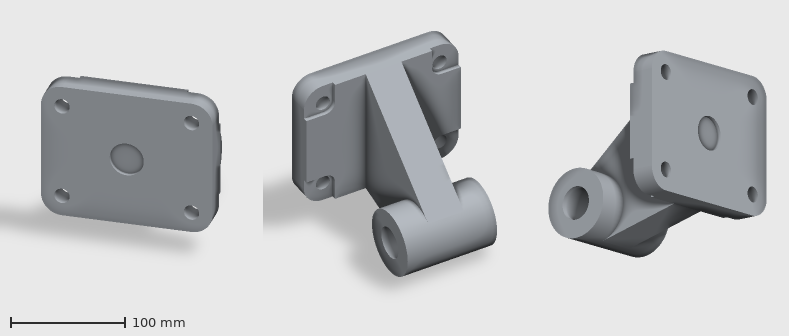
import cadquery as cq
import math

plate_width = 156.0
plate_height = 126.0
plate_thickness = 25.3
corner_radius = 19.0
hole_diameter = 14.0

seat_depth = 4.0
seat_radius = 10.0

recess_diameter = 31.0
recess_depth = 4.0

boss_diameter = 63.0
boss_length = 90.2
bore_diameter = 30.1
total_depth = 146.5
axis_height = 10.0

web_thickness = 36.0

boss_radius = boss_diameter / 2
axis_y = total_depth - boss_radius
plate_middle = plate_height / 2
hole_x = plate_width / 2 - corner_radius
hole_z = plate_middle - corner_radius
corner_signs = [(sx, sz) for sx in (-1, 1) for sz in (-1, 1)]


def x_cylinder(diameter, length):
    """Cylinder on the pivot axis, centred on X = 0."""
    return (
        cq.Workplane("YZ")
        .center(axis_y, axis_height)
        .circle(diameter / 2)
        .extrude(length / 2, both=True)
    )


def y_cylinder(x, z, diameter, depth):
    """Cylinder running back from the plate's front face."""
    return cq.Workplane("XZ").center(x, z).circle(diameter / 2).extrude(-depth)


def tangent_point(y, z, side):
    """Where the tangent from (y, z) touches the boss; side is +1 above, -1 below."""
    dy = y - axis_y
    dz = z - axis_height
    to_point = math.atan2(dz, dy)
    half_angle = math.acos(boss_radius / math.hypot(dy, dz))
    angle = to_point - side * half_angle
    return (
        axis_y + boss_radius * math.cos(angle),
        axis_height + boss_radius * math.sin(angle),
    )


def make_plate():
    return (
        cq.Workplane("XZ")
        .center(0, plate_middle)
        .rect(plate_width, plate_height)
        .extrude(-plate_thickness)
        .edges("|Y")
        .fillet(corner_radius)
    )


def make_web():
    """Web whose sloping edges run from the plate tangent to the boss."""
    top = tangent_point(plate_thickness, plate_height, 1)
    bottom = tangent_point(plate_thickness, 0, -1)
    return (
        cq.Workplane("YZ")
        .moveTo(plate_thickness, 0)
        .lineTo(plate_thickness, plate_height)
        .lineTo(*top)
        .lineTo(axis_y, axis_height)
        .lineTo(*bottom)
        .close()
        .extrude(web_thickness / 2, both=True)
    )


def make_seat(side_x, side_z):
    """Square corner seat, rounded around the hole and open to both plate edges."""
    size = corner_radius + seat_radius
    block = (
        cq.Workplane("XY")
        .box(size, seat_depth, size)
        .edges("|Y and >X and >Z")
        .fillet(seat_radius)
    )
    if side_x > 0:
        block = block.mirror("YZ")
    if side_z > 0:
        block = block.mirror("XY")
    return block.translate((
        side_x * (plate_width - size) / 2,
        plate_thickness - seat_depth / 2,
        plate_middle + side_z * (plate_height - size) / 2,
    ))


result = make_plate().union(make_web()).union(x_cylinder(boss_diameter, boss_length))
result = result.cut(x_cylinder(bore_diameter, boss_length))
result = result.cut(y_cylinder(0, plate_middle, recess_diameter, recess_depth))

for side_x, side_z in corner_signs:
    hole = y_cylinder(
        side_x * hole_x, plate_middle + side_z * hole_z, hole_diameter, plate_thickness
    )
    result = result.cut(hole).cut(make_seat(side_x, side_z))